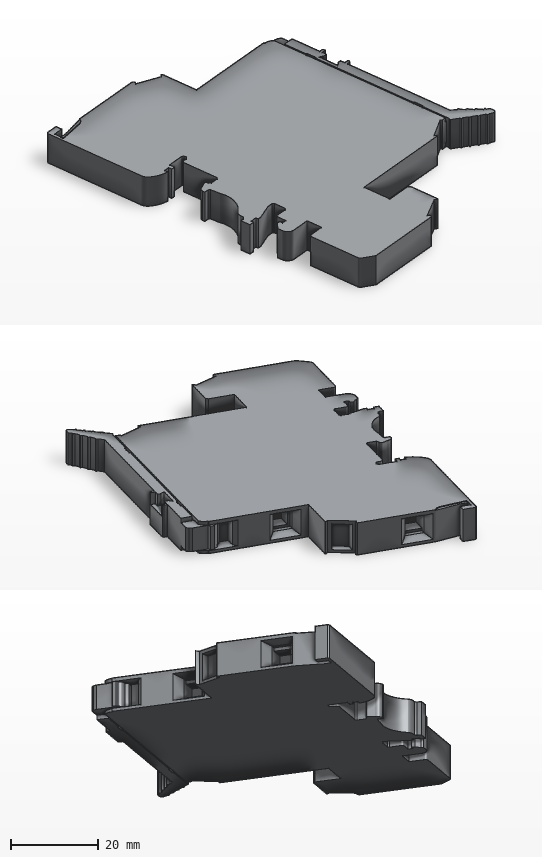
import cadquery as cq
import math

length = 90.3
thickness = 8.1

wall_left = 2.3
wall_right = length
mirror_sum = wall_left + wall_right
shoulder_y = 35.3
shoulder_slope_x = 1.1
shoulder_slope_bottom_y = 28.4
shoulder_lip_y = 28.9
step_y = 28.35
right_block_x = 78.3
right_block_bottom_y = 5.1
claw_right = 69.1

tower_left = 15.8
tower_right = 70.7
tower_top = 62.1

recess_roof_y = 10.3
recess_corner = 0.4

lever_left = 16.1
plate_left = 19.9
plate_bottom = 62.5
plate_top = 65.3
lever_clearance = 1.1
lever_thickness = 6.0
handle_tip_y = 71.6
window_length = 2.6
window_top = 62.8
window_starts = (26.3, 57.8)

marker_mid_x = 32.1
marker_top = 66.5
marker_lip_half = 4.1
marker_depth = 3.0

opening_bottom_z = 0.7
opening_top_z = 7.2
port_height = 7.8
ports = ((tower_left, 37.1, 2.0), (wall_left, 9.9, 1.3))
funnel_depth = 2.4

arm_x = 3.4
arm_bottom_y = 2.6
arm_top_y = 9.3
hook_floor = 0.8
foot_groove_depth = 0.2


def slab(path, bottom=0.0, height=thickness):
    """Close an XY outline and extrude it along Z."""
    return path.close().extrude(height).translate((0, 0, bottom))


def box(x0, x1, y0, y1, z0, z1):
    return cq.Workplane("XY").box(x1 - x0, y1 - y0, z1 - z0, centered=False).translate((x0, y0, z0))


def lines(path, points):
    for x, y in points:
        path = path.lineTo(x, y)
    return path


def shoulder_points():
    """Sloped shoulder of the left wall, listed upwards; the right one mirrors it."""
    foot_x = wall_left + shoulder_slope_x
    return [
        (wall_left, shoulder_lip_y - 0.3),
        (wall_left + 0.4, shoulder_lip_y),
        (foot_x - 0.4, shoulder_lip_y),
        (foot_x, shoulder_slope_bottom_y),
        (6.1, 34.5),
        (5.5, shoulder_y - 0.2),
        (5.7, shoulder_y),
    ]


def foot_outline(path):
    """Hooked release foot at the lower left corner."""
    hook_width = 1.7
    hook_top = 3.4
    return lines(path, [
        (0, 0.4), (0, hook_top), (hook_width, hook_top), (hook_width, hook_floor),
        (arm_x, hook_floor), (arm_x, arm_bottom_y), (wall_left, arm_top_y),
    ])


def tower_outline(path):
    """Tower from the left shoulder round to the step beside the right block."""
    path = lines(path, [(tower_left, shoulder_y), (tower_left, 60.0), (lever_left, 60.05)])
    path = path.threePointArc((16.4, 61.4), (17.1, tower_top))
    return lines(path, [
        (67.5, tower_top), (67.5, 61.0), (67.1, 60.8), (70.0, 54.9), (70.3, 55.3),
        (tower_right, 55.3), (tower_right, step_y), (right_block_x, step_y),
    ])


def right_block_outline(path):
    """Right block with its shoulder, down to the slot behind the right rail claw."""
    slot_x = 73.3
    slot_roof_y = 9.5
    path = lines(path, [(right_block_x, shoulder_y - 0.5), (right_block_x + 0.5, shoulder_y)])
    path = lines(path, [(mirror_sum - x, y) for x, y in reversed(shoulder_points())])
    path = path.lineTo(wall_right, 8.3).lineTo(88.3, 5.4)
    path = path.threePointArc((87.95, 5.15), (87.5, right_block_bottom_y))
    path = path.lineTo(slot_x + 0.7, right_block_bottom_y)
    corner_mid = (slot_x + 0.2, right_block_bottom_y + 0.2)
    path = path.threePointArc(corner_mid, (slot_x, right_block_bottom_y + 0.7))
    return lines(path, [(slot_x, slot_roof_y), (claw_right, slot_roof_y)])


def right_claw_outline(path):
    """Small hook that grips the right edge of the rail."""
    claw_x = 62.3
    claw_bottom = 2.8
    heel_radius = 3.9 / 2
    heel_x = claw_right - heel_radius
    heel_y = claw_bottom + heel_radius
    arc_mid = heel_radius * math.sqrt(0.5)
    path = path.lineTo(claw_right, heel_y)
    path = path.threePointArc((heel_x + arc_mid, heel_y - arc_mid), (heel_x, claw_bottom))
    path = lines(path, [
        (65.65, claw_bottom), (65.4, 3.3), (64.3, 4.4), (64.3, 5.3), (65.2, 5.3), (65.2, 6.5),
        (claw_x + 0.7, 6.5),
    ])
    path = path.threePointArc((claw_x + 0.2, 6.7), (claw_x, 7.2))
    return lines(path, [
        (claw_x, recess_roof_y - recess_corner), (claw_x - recess_corner, recess_roof_y),
    ])


def spring_leg_outline(path):
    """Middle leg with its arched underside."""
    leg_right = 59.9
    notch_x = 59.15
    path = lines(path, [(58.8, recess_roof_y), (58.4, 9.9), (58.4, 8.4), (leg_right, 3.9)])
    path = lines(path, [
        (leg_right, 3.1), (notch_x, 3.1), (notch_x, 1.35), (leg_right, 1.35), (leg_right, 0),
        (57.2, 0), (57.2, 1.1), (56.7, 1.5),
    ])
    path = path.lineTo(55.8, 1.5).threePointArc((55.2, 1.7), (54.5, 2.2))
    path = path.threePointArc((51.4, 5.15), (46.5, 5.7))
    path = path.lineTo(43.8, 5.5).lineTo(43.4, 5.15).lineTo(43.4, 3.9).lineTo(42.7, 3.9)
    path = path.threePointArc((42.0, 4.3), (41.6, 5.15))
    path = path.lineTo(41.0, 6.7).threePointArc((41.2, 7.2), (41.6, 7.4))
    return lines(path, [
        (42.3, 7.8), (42.3, recess_roof_y - recess_corner), (42.3 - recess_corner, recess_roof_y),
    ])


def left_claw_outline(path):
    """Rounded relief slot and the left rail seat, ending on the bottom face."""
    slot_left = 30.2
    slot_right = 31.6
    slot_mid = (slot_left + slot_right) / 2
    slot_radius = slot_right - slot_mid
    slot_centre_y = 11.7
    path = path.lineTo(slot_right + 1.0, recess_roof_y)
    path = path.threePointArc((31.9, 10.5), (slot_right, 11.0)).lineTo(slot_right, slot_centre_y)
    path = path.threePointArc((slot_mid, slot_centre_y + slot_radius), (slot_left, slot_centre_y))
    path = lines(path, [
        (slot_left, 7.5), (slot_right, 7.5), (slot_right, 6.5), (30.7, 6.5), (30.7, 5.1), (slot_right, 5.1),
    ])
    path = path.threePointArc((31.1, 3.0), (29.8, 1.0))
    return path.threePointArc((29.0, 0.3), (27.8, 0))


def housing():
    path = cq.Workplane("XY").moveTo(0.4, 0)
    path = foot_outline(path)
    path = lines(path, shoulder_points())
    path = tower_outline(path)
    path = right_block_outline(path)
    path = right_claw_outline(path)
    path = spring_leg_outline(path)
    path = left_claw_outline(path)
    return slab(path)


def foot_groove():
    """Shallow step along the flexible arm of the foot."""
    path = cq.Workplane("XY").moveTo(wall_left, arm_top_y)
    path = lines(path, [
        (3.1, 8.8), (3.4, 7.9), (4.2, hook_floor), (arm_x, hook_floor), (arm_x, arm_bottom_y),
    ])
    return slab(path, thickness - foot_groove_depth, foot_groove_depth)


def port(wall_x, bottom_y, core_step):
    """Funnel-shaped wire entry that narrows in steps behind a left wall."""
    def rectangle(plane, y0, y1, z0, z1):
        return plane.moveTo(y0, z0).lineTo(y1, z0).lineTo(y1, z1).lineTo(y0, z1).close()

    inner = (bottom_y + 1.3, bottom_y + port_height - 1.8, 1.6, 6.4)
    core = (bottom_y + core_step, bottom_y + port_height - 1.8, 2.3, 5.6)
    inner_depth = 3.6
    core_depth = 7.2
    mouth = rectangle(cq.Workplane("YZ"), bottom_y, bottom_y + port_height, opening_bottom_z, opening_top_z)
    funnel = rectangle(mouth.workplane(offset=funnel_depth), *inner).loft(combine=True)
    cavity = funnel.translate((wall_x, 0, 0))
    cavity = cavity.union(box(wall_x + funnel_depth, wall_x + inner_depth, *inner))
    return cavity.union(box(wall_x + funnel_depth, wall_x + core_depth, *core))


def shoulder_window():
    """Screwdriver opening in the sloped left shoulder."""
    path = cq.Workplane("XY").moveTo(wall_left, 29.3)
    path = lines(path, [(6.0, 29.3), (7.7, 33.0), (5.7, 33.6), (wall_left, 33.6)])
    return slab(path, opening_bottom_z, opening_top_z - opening_bottom_z)


def lever_pocket():
    """Opening in the upper left wall that holds the toe of the lever."""
    pocket_back = tower_left + 3.6
    path = cq.Workplane("XY").moveTo(tower_left - 0.9, 52.7).lineTo(tower_left, 52.7)
    path = lines(path, [
        (tower_left + 0.9, 53.7), (pocket_back, 53.7), (pocket_back, tower_top), (tower_left - 0.9, tower_top),
    ])
    return slab(path, opening_bottom_z, opening_top_z - opening_bottom_z)


def handle_outline(path):
    """Raised handle with gripping teeth along both sides, ending below the plate."""
    teeth_per_side = 4
    upper_first = (67.45, 67.0)
    upper_last = (72.15, 70.9)
    lower_first = (74.3, 69.2)
    lower_last = (70.6, 64.1)
    riser = 0.5
    tread = 0.45

    def tooth_points(first, last):
        for i in range(teeth_per_side):
            share = i / (teeth_per_side - 1)
            yield first[0] + share * (last[0] - first[0]), first[1] + share * (last[1] - first[1])

    path = path.lineTo(66.4, plate_top)
    for x, y in tooth_points(upper_first, upper_last):
        path = path.lineTo(x, y - riser).lineTo(x, y).lineTo(x + tread, y)
    path = path.lineTo(73.1, handle_tip_y).lineTo(74.2, handle_tip_y)
    path = path.threePointArc((74.8, 71.25), (74.7, 70.4))
    for x, y in tooth_points(lower_first, lower_last):
        path = path.lineTo(x, y + riser).lineTo(x, y).lineTo(x - tread, y)
    return path.lineTo(68.9, tower_top + 0.2).lineTo(68.5, tower_top + 0.2)


def lever_plate():
    path = cq.Workplane("XY").moveTo(plate_left, plate_bottom).lineTo(plate_left, plate_top)
    path = handle_outline(path).lineTo(68.4, plate_bottom)
    plate = slab(path)
    lip_chamfer = 0.3
    lip = box(
        marker_mid_x - marker_lip_half, marker_mid_x + marker_lip_half,
        plate_top - 0.2, marker_top, 0, thickness,
    )
    return plate.union(lip.edges("|Z and >Y").chamfer(lip_chamfer))


def marker_slot():
    """T-shaped slot with a flared root, open at the upper face."""
    half = [(3.3, marker_top), (3.3, plate_top), (2.1, plate_top), (2.1, 64.5), (2.7, 63.4)]
    left = [(marker_mid_x - x, y) for x, y in half]
    right = [(marker_mid_x + x, y) for x, y in reversed(half)]
    path = cq.Workplane("XY").polyline(left + right)
    return slab(path, thickness - marker_depth, marker_depth)


def lever_core():
    """Narrower middle of the lever: cap, rounded toe and strip between plate and tower."""
    toe_y = 56.6
    path = cq.Workplane("XY").moveTo(plate_left, toe_y).lineTo(17.9, toe_y).lineTo(17.4, 57.4)
    path = path.threePointArc((16.5, 57.6), (15.9, 58.5))
    path = lines(path, [
        (15.4, 58.8), (15.4, 59.7), (lever_left, 60.05), (lever_left, 63.9), (16.3, 64.7),
        (16.9, plate_top), (plate_left, plate_top),
    ])
    core = slab(path, lever_clearance, lever_thickness)
    core_end = lever_clearance + lever_thickness
    return core.union(box(plate_left, 67.5, tower_top, plate_bottom, lever_clearance, core_end))


result = housing().cut(foot_groove()).cut(shoulder_window()).cut(lever_pocket())
for wall_x, bottom_y, core_step in ports:
    result = result.cut(port(wall_x, bottom_y, core_step))

lever = lever_plate().cut(marker_slot()).union(lever_core())
for window_x in window_starts:
    lever = lever.cut(box(window_x, window_x + window_length, tower_top, window_top, 0, thickness))

result = result.union(lever)